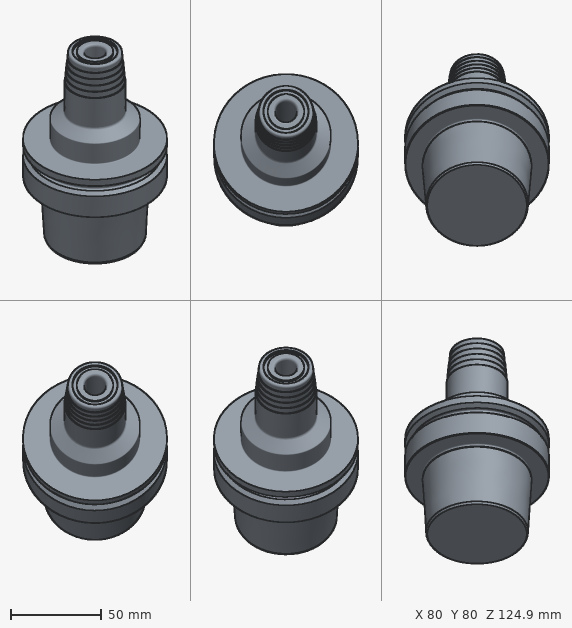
import cadquery as cq
import math

total_height = 124.9
flange_bottom = 40.0
flange_height = 25.9
flange_top = flange_bottom + flange_height

taper_top_radius = 30.4
taper_top = 37.7
taper_slope = 0.055
taper_end_chamfer_height = 1.5
taper_end_radius = 27.6
relief_radius = 30.0
relief_bottom = 38.5
relief_fillet = 0.7

flange_diameter = 80.0
flange_radius = flange_diameter / 2
flange_chamfer = 0.4
groove_floor_radius = 35.3
groove_shoulder_radius = 37.2
groove_bevel_height = 1.7
groove_bottom = 56.2
groove_top = 59.6
groove_fillet = 0.6

body_radius = 25.0
body_foot_fillet = 0.5
body_edge_fillet = 0.6
cone_angle = 30.0
neck_radius = 17.0
neck_foot_z = 84.3
neck_foot_fillet = 1.2
step_count = 5
step_height = 4.0
step_width = 0.4
step_shoulder_height = 0.1
nose_fillet = 1.1

face_groove_inner_radius = 10.1
face_groove_outer_radius = 12.4
face_groove_depth = 1.2
face_groove_chamfer = 0.2

bore_steps = [(6.0, 45.0), (5.1, 50.0), (4.6, 55.0)]
bore_entry_fillet = 1.5

taper_bottom_radius = taper_top_radius - taper_slope * (taper_top - taper_end_chamfer_height)
cone_height = (body_radius - neck_radius) * math.tan(math.radians(cone_angle))
cone_foot_z = neck_foot_z - cone_height
nose_radius = neck_radius - step_count * step_width


def nose_steps():
    """Profile points of the bevelled steps that narrow the neck towards the nose face."""
    points = []
    for step in range(step_count):
        radius = neck_radius - step * step_width
        z = total_height - (step_count - step) * step_height
        points += [(radius, z - step_shoulder_height), (radius - step_width, z)]
    return points


def make_body():
    """Solid of revolution from the taper end up to the nose face."""
    shank = [
        (0, 0),
        (taper_end_radius, 0),
        (taper_bottom_radius, taper_end_chamfer_height),
        (taper_top_radius, taper_top),
        (relief_radius, relief_bottom),
        (relief_radius, flange_bottom),
    ]
    flange = [
        (flange_radius - flange_chamfer, flange_bottom),
        (flange_radius, flange_bottom + flange_chamfer),
        (flange_radius, groove_bottom - groove_bevel_height),
        (groove_shoulder_radius, groove_bottom),
        (groove_floor_radius, groove_bottom),
        (groove_floor_radius, groove_top),
        (groove_shoulder_radius, groove_top),
        (flange_radius, groove_top + groove_bevel_height),
        (flange_radius, flange_top),
    ]
    nose = [
        (body_radius, flange_top),
        (body_radius, cone_foot_z),
        (neck_radius, neck_foot_z),
        *nose_steps(),
        (nose_radius, total_height),
        (0, total_height),
    ]
    profile = cq.Workplane("XZ").polyline(shank + flange + nose).close()
    return profile.revolve(360, (0, 0, 0), (0, 1, 0))


def cut_bore(part):
    """Cut the stepped blind bore from the nose face."""
    for radius, depth in bore_steps:
        step = cq.Workplane("XY", origin=(0, 0, total_height - depth)).circle(radius).extrude(depth)
        part = part.cut(step)
    return part


def cut_face_groove(part):
    """Cut the annular groove around the bore into the nose face."""
    floor = cq.Workplane("XY", origin=(0, 0, total_height - face_groove_depth))
    ring = floor.circle(face_groove_outer_radius).circle(face_groove_inner_radius)
    return part.cut(ring.extrude(face_groove_depth))


def select_ring(part, radius, z):
    """Select the circular edge of the given radius at height z."""
    tolerance = 0.001

    def is_ring(edge):
        same_radius = abs(edge.radius() - radius) < tolerance
        return same_radius and abs(edge.Center().z - z) < tolerance

    return part.edges("%CIRCLE").filter(is_ring)


result = cut_face_groove(cut_bore(make_body()))
result = select_ring(result, face_groove_outer_radius, total_height).chamfer(face_groove_chamfer)

bore_radius = bore_steps[0][0]
rounded_edges = [
    (relief_radius, flange_bottom, relief_fillet),
    (groove_floor_radius, groove_bottom, groove_fillet),
    (groove_floor_radius, groove_top, groove_fillet),
    (body_radius, flange_top, body_foot_fillet),
    (body_radius, cone_foot_z, body_edge_fillet),
    (neck_radius, neck_foot_z, neck_foot_fillet),
    (nose_radius, total_height, nose_fillet),
    (bore_radius, total_height, bore_entry_fillet),
]
for ring_radius, ring_z, fillet_size in rounded_edges:
    result = select_ring(result, ring_radius, ring_z).fillet(fillet_size)